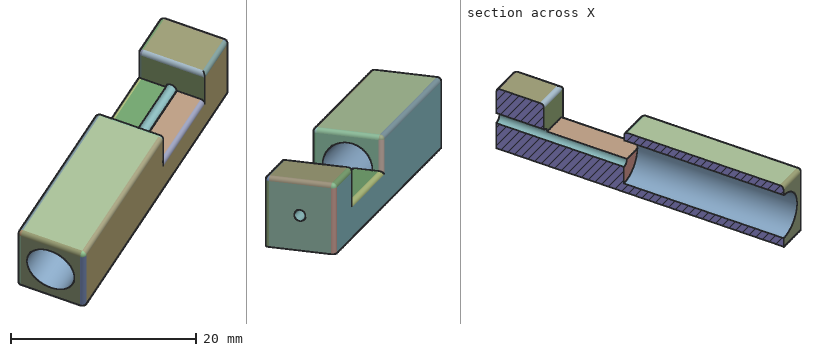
import cadquery as cq

bar_side = 8.1
bar_length = 36.0
edge_radius = 0.5

front_block_length = 20.0
rear_block_length = 6.0
notch_length = bar_length - front_block_length - rear_block_length

bore_diameter = 5.7
pilot_diameter = 1.28

front_y = -bar_length / 2
rear_y = bar_length / 2
notch_front_y = front_y + front_block_length
notch_rear_y = notch_front_y + notch_length
axis_z = bar_side / 2


def notched_bar():
    """Bar with the notch, extruded across X from its side outline."""
    outline = [
        (front_y, 0),
        (rear_y, 0),
        (rear_y, bar_side),
        (notch_rear_y, bar_side),
        (notch_rear_y, axis_z),
        (notch_front_y, axis_z),
        (notch_front_y, bar_side),
        (front_y, bar_side),
    ]
    return cq.Workplane("YZ").polyline(outline).close().extrude(bar_side / 2, both=True)


def box_around(point, reach):
    """Selector for the edges whose centre lies within the given X, Y and Z reach of a point."""
    low = tuple(p - r for p, r in zip(point, reach))
    high = tuple(p + r for p, r in zip(point, reach))
    return cq.selectors.BoxSelector(low, high)


def round_edges(body):
    """Round every edge except the base, the notch inner corners and one notch wall edge."""
    near = (edge_radius, edge_radius, edge_radius)
    base_edges = box_around((0, 0, 0), (bar_side, bar_length, edge_radius))
    front_inner_corner = box_around((0, notch_front_y, axis_z), near)
    rear_inner_corner = box_around((0, notch_rear_y, axis_z), near)
    wall_middle_z = (axis_z + bar_side) / 2
    sharp_wall_edge = box_around((bar_side / 2, notch_rear_y, wall_middle_z), near)
    sharp_edges = base_edges + front_inner_corner + rear_inner_corner + sharp_wall_edge
    return body.edges(-sharp_edges).fillet(edge_radius)


def axial_hole(diameter, length):
    """Cylinder on the bar axis, running back from the front face."""
    front_plane = cq.Workplane("XZ", origin=(0, front_y, axis_z))
    return front_plane.circle(diameter / 2).extrude(-length)


body = round_edges(notched_bar())
body = body.cut(axial_hole(bore_diameter, front_block_length))
result = body.cut(axial_hole(pilot_diameter, bar_length))